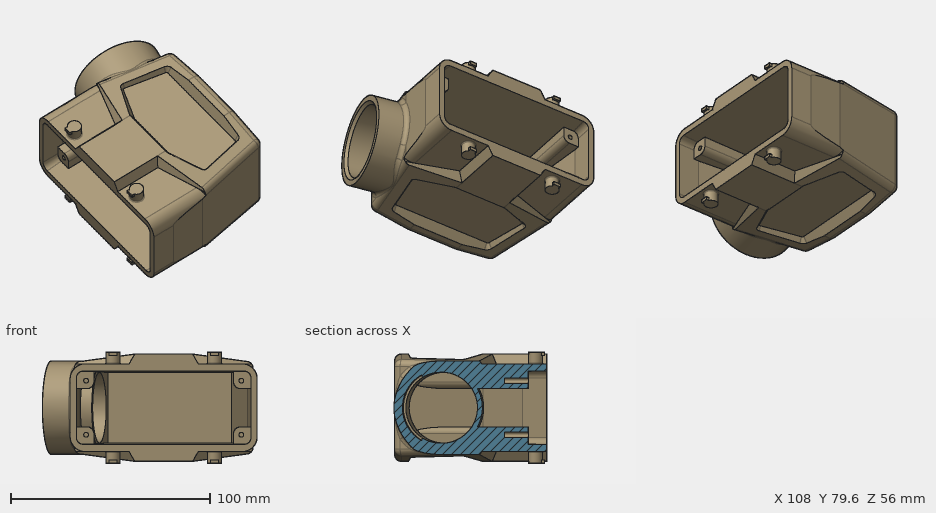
import cadquery as cq
import math

mouth_length = 94.0
mouth_height = 44.0
mouth_corner_radius = 7.4
hood_depth = 76.6
straight_depth = 12.3
shoulder_depth = 32.0
shoulder_half_length = 45.45
closed_half_length = 37.0
crest_half_height = 27.0
crease_x = 14.5
end_half_height = 22.6
hood_edge_radius = 3.5

base_half_height = mouth_height / 2
wall_draft = 30.0
column_half_width = 17.4
column_top_y = 25.4
shoulder_foot_y = 34.8
panel_corner_radius = 1.0
panel_far_y = 66.7
panel_far_half_width = 28.3
panel_wide_y = 42.6
panel_wide_half_width = 33.4
panel_near_y = 35.4
overlap = 1.0

cavity_half_length = 43.9
cavity_half_height = 18.4
cavity_ceiling_half_height = 17.75
cavity_corner_radius = 3.5
cavity_depth = 73.5
cavity_shoulder_half_length = 42.0
cavity_closed_half_length = 34.0

post_face_y = 9.3
post_inner_x = 35.1
post_inner_z = 9.6
post_corner_radius = 3.4
screw_x = 39.0
screw_z = 13.6
screw_hole_diameter = 2.4
screw_hole_depth = 12.0

tube_tilt = 11.0
tube_face_x = -56.54
tube_face_y = 56.5
tube_radius = 23.5
end_wall_distance = 15.6
tube_root_distance = 20.0
tube_foot_fillet = 2.5
counterbore_radius = 19.05
counterbore_depth = 16.0
counterbore_chamfer = 1.55
chamfer_angle = 45.0
bore_radius = 17.75
pad_radius = 20.4
pad_face_distance = 24.7

pin_x = 25.5
pin_y = 5.65
pin_radius = 3.55
pin_top = 28.0
pin_root = 20.0
pin_root_fillet = 0.4
pin_tab_width = 3.9
pin_tab_height = 1.8
pin_tab_end_y = 1.2


def mirrored(half_outline):
    """Close an outline given by its +X half with its -X mirror image."""
    return half_outline + [(-x, y) for x, y in reversed(half_outline)]


def upright_prism(outline, bottom, height, draft=0.0):
    return (
        cq.Workplane("XY")
        .workplane(offset=bottom)
        .polyline(outline)
        .close()
        .extrude(height, taper=draft)
    )


def both_sides(upper):
    """Repeat a shape of the +Z side on the -Z side."""
    return upper.union(upper.mirror("XY"))


def side_profile():
    """Plan outline of the hood: upright, then leaning in twice toward the closed end."""
    return upright_prism(
        mirrored([
            (mouth_length / 2, 0),
            (mouth_length / 2, straight_depth),
            (shoulder_half_length, shoulder_depth),
            (closed_half_length, hood_depth),
        ]),
        -mouth_height,
        2 * mouth_height,
    )


def crest_prism():
    """Prism whose Z faces are flat between the creases and fall toward both ends."""
    upper = mirrored([(mouth_length / 2, end_half_height), (crease_x, crest_half_height)])
    lower = [(x, -z) for x, z in reversed(upper)]
    return cq.Workplane("XZ").polyline(upper + lower).close().extrude(-hood_depth)


def make_envelope():
    hood = crest_prism().intersect(side_profile())
    end_edges = cq.selectors.BoxSelector(
        (-mouth_length, shoulder_depth / 2, -mouth_length), (mouth_length, 2 * hood_depth, mouth_length))
    crest_creases = cq.selectors.BoxSelector(
        (-crease_x - overlap, overlap, -mouth_length),
        (crease_x + overlap, hood_depth - overlap, mouth_length))
    return hood.edges(end_edges - crest_creases).fillet(hood_edge_radius)


def make_raised_region():
    """Full-height column and hood end above the base plane, plus everything behind them."""
    rise = crest_half_height - base_half_height + overlap
    column = upright_prism(
        mirrored([(column_half_width, -hood_depth), (column_half_width, 2 * hood_depth)]),
        base_half_height, rise, wall_draft)
    shoulder_slope = (shoulder_foot_y - column_top_y) / (shoulder_half_length - column_half_width)
    reach = 2 * mouth_length
    reach_y = column_top_y + shoulder_slope * (reach - column_half_width)
    shoulder_outline = [
        (0, column_top_y - shoulder_slope * column_half_width),
        (reach, reach_y),
        (-reach, reach_y),
    ]
    shoulder = upright_prism(shoulder_outline, base_half_height, rise, wall_draft)
    core = upright_prism(shoulder_outline, -base_half_height, 2 * base_half_height)
    return both_sides(column.union(shoulder)).union(core)


def make_base():
    """Rounded block at the open end, below the raised faces."""
    base = cq.Workplane("XZ").rect(mouth_length, mouth_height).extrude(-shoulder_foot_y)
    base = base.edges("|Y").fillet(mouth_corner_radius)
    return base.intersect(side_profile())


def make_panel_cutter():
    """Sunken panels in both Z faces, with drafted walls."""
    outline = mirrored([
        (crease_x, panel_near_y),
        (panel_wide_half_width, panel_wide_y),
        (panel_far_half_width, panel_far_y),
    ])
    side_corners = cq.selectors.BoxSelector(
        (-mouth_length, panel_wide_y - overlap, -overlap), (mouth_length, panel_far_y + overlap, overlap))
    floor = cq.Sketch().polygon(outline + outline[:1]).vertices(side_corners).fillet(panel_corner_radius)
    rise = crest_half_height - base_half_height + overlap
    cutter = (
        cq.Workplane("XY")
        .workplane(offset=base_half_height)
        .placeSketch(floor)
        .extrude(rise, taper=-wall_draft)
    )
    return both_sides(cutter)


def tube_plane():
    """Workplane on the tube face: normal along the axis into the hood, sketch X along Z."""
    tilt = math.radians(tube_tilt)
    inward = (math.cos(tilt), -math.sin(tilt), 0)
    return cq.Workplane(cq.Plane((tube_face_x, tube_face_y, 0), (0, 0, 1), inward))


def along_tube(start, end, radius):
    """Cylinder on the tube axis between two distances from the tube face."""
    return tube_plane().workplane(offset=start).circle(radius).extrude(end - start)


def add_tube(body):
    """Join the cable tube to the hood and blend its foot into the end wall."""
    joined = body.union(along_tube(0, tube_root_distance, tube_radius))
    tube_center = tube_plane().plane.toWorldCoords((0, 0, end_wall_distance / 2))
    tube_wall = joined.faces("%CYLINDER").faces(cq.selectors.NearestToPointSelector(tube_center.toTuple()))
    foot = tube_wall.edges("not (%CIRCLE or %LINE)")
    return foot.fillet(tube_foot_fillet)


def make_cavity():
    opening = (
        cq.Workplane("XZ")
        .rect(2 * cavity_half_length, 2 * cavity_half_height)
        .extrude(-cavity_depth)
        .edges("|Y")
        .fillet(cavity_corner_radius)
    )
    outline = mirrored([
        (cavity_half_length, 0),
        (cavity_half_length, straight_depth),
        (cavity_shoulder_half_length, shoulder_depth),
        (cavity_closed_half_length, cavity_depth),
    ])
    plan = upright_prism(outline, -mouth_height, 2 * mouth_height)
    return opening.intersect(plan).intersect(cavity_draft_wedge())


def cavity_draft_wedge():
    """Wedge whose Z faces close in slightly toward the ceiling."""
    return (
        cq.Workplane("YZ")
        .polyline([
            (0, -cavity_half_height),
            (cavity_depth, -cavity_ceiling_half_height),
            (cavity_depth, cavity_ceiling_half_height),
            (0, cavity_half_height),
        ])
        .close()
        .extrude(mouth_length, both=True)
    )


def make_posts():
    width = mouth_length / 2 - post_inner_x
    height = mouth_height / 2 - post_inner_z
    posts = cq.Workplane("XY")
    for x_side in (-1, 1):
        for z_side in (-1, 1):
            post = (
                cq.Workplane("XZ", origin=(0, post_face_y, 0))
                .center(x_side * (post_inner_x + width / 2), z_side * (post_inner_z + height / 2))
                .rect(width, height)
                .extrude(post_face_y - hood_depth)
                .edges("|Y")
                .edges(cq.selectors.NearestToPointSelector(
                    (x_side * post_inner_x, hood_depth / 2, z_side * post_inner_z)))
                .fillet(post_corner_radius)
            )
            posts = posts.union(post)
    return posts


def make_screw_holes():
    return (
        cq.Workplane("XZ", origin=(0, post_face_y, 0))
        .rect(2 * screw_x, 2 * screw_z, forConstruction=True)
        .vertices()
        .circle(screw_hole_diameter / 2)
        .extrude(-screw_hole_depth)
    )


def make_bore_pad():
    """Thickening of the end wall around the bore: round below, square up to the ceiling."""
    pad = along_tube(end_wall_distance, pad_face_distance, pad_radius)
    upper = (
        tube_plane()
        .workplane(offset=end_wall_distance)
        .center(0, -hood_depth / 2)
        .rect(2 * pad_radius, hood_depth)
        .extrude(pad_face_distance - end_wall_distance)
    )
    return pad.union(upper)


def make_tube_bore():
    bore = along_tube(-overlap, pad_face_distance + overlap, bore_radius)
    counterbore = along_tube(-overlap, counterbore_depth, counterbore_radius)
    chamfer = (
        tube_plane()
        .circle(counterbore_radius + counterbore_chamfer)
        .extrude(counterbore_chamfer, taper=chamfer_angle)
    )
    return bore.union(counterbore).union(chamfer)


def make_pins():
    shank = (
        cq.Workplane("XZ")
        .moveTo(0, pin_root)
        .lineTo(pin_radius + pin_root_fillet, pin_root)
        .lineTo(pin_radius + pin_root_fillet, base_half_height)
        .radiusArc((pin_radius, base_half_height + pin_root_fillet), pin_root_fillet)
        .lineTo(pin_radius, pin_top)
        .lineTo(0, pin_top)
        .close()
        .revolve(360, (0, 0), (0, 1))
    )
    tab_reach = pin_y - pin_tab_end_y
    tab = cq.Workplane("XY").box(pin_tab_width, tab_reach, pin_tab_height, centered=(True, False, False))
    pin = shank.union(tab.translate((0, -tab_reach, pin_top - pin_tab_height)))
    pins = pin.translate((-pin_x, pin_y, 0)).union(pin.translate((pin_x, pin_y, 0)))
    return both_sides(pins)


shell = make_envelope().intersect(make_raised_region()).union(make_base())
shell = add_tube(shell).cut(make_panel_cutter())
cavity = make_cavity().cut(make_posts()).cut(make_bore_pad())
result = shell.cut(cavity).cut(make_tube_bore()).cut(make_screw_holes()).union(make_pins())